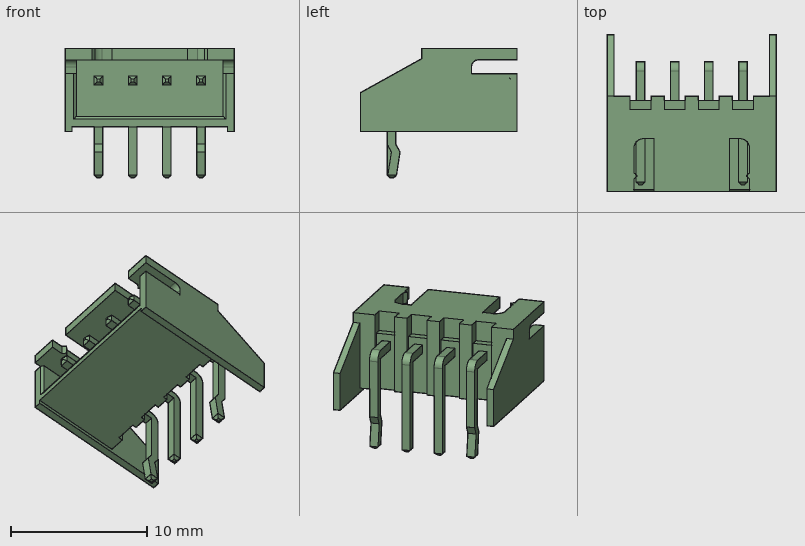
import cadquery as cq


pin_count = 4
pitch = 2.5
pin_width = 0.64
pin_depth = 0.64
pin_axis_z = 3.75
pin_front_y = 0.5
pin_back_y = 9.53
pin_end_z = -3.4
pin_taper = 0.2
pin_tip_width = 0.22
pin_bend_radius = 0.7
kink_start_z = -0.92
kink_peak_z = -1.5
kink_shift = 0.31
kink_end_shift = 0.05

end_margin = 2.45
width = (pin_count - 1) * pitch + 2 * end_margin
length = 11.5
height = 6.1
shell_length = 7.0
shell_bottom_z = 0.34
side_plate = 0.52
slope_top_z = 5.35
slope_bottom_z = 2.85

cavity_wall = 0.83
cavity_floor_z = 1.12
cavity_roof_z = 5.25
cavity_depth = 5.2
lead_in_width = 0.21
lead_in_depth = 0.15

side_slot_bottom_z = 4.25
side_slot_depth = 3.34
side_slot_radius = 0.5

roof_slot_outer_x = 4.25
roof_slot_width = 1.48
roof_slot_depth = 3.89
roof_slot_radius = 0.75
bump_y = 1.15
bump_height = 0.25

notch_width = 1.53
notch_depth = 0.98
notch_ledge_z = 4.6
recess_depth = 0.31

pin_positions = [(i - (pin_count - 1) / 2) * pitch for i in range(pin_count)]


def box(x_range, y_range, z_range):
    """Axis-aligned block between the given limits."""
    size = [high - low for low, high in (x_range, y_range, z_range)]
    corner = (x_range[0], y_range[0], z_range[0])
    return cq.Workplane("XY").box(*size, centered=False).translate(corner)


def make_body():
    """Shell block with a full-length side plate at each end."""
    half = width / 2
    shell = box((-half, half), (0, shell_length), (shell_bottom_z, height))
    plate_outline = [
        (0, 0),
        (length, 0),
        (length, slope_bottom_z),
        (shell_length, slope_top_z),
        (shell_length, height),
        (0, height),
    ]
    plate = cq.Workplane("YZ", origin=(-half, 0, 0)).polyline(plate_outline).close().extrude(side_plate)
    return shell.union(plate).union(plate.mirror("YZ"))


def make_cavity():
    """Mating cavity, widened at the mouth by a lead-in on the floor and sides."""
    half = width / 2 - cavity_wall
    cavity = box((-half, half), (0, cavity_depth), (cavity_floor_z, cavity_roof_z))
    mouth_half = half + lead_in_width
    lead_in = (
        cq.Workplane("XZ")
        .polyline([
            (-mouth_half, cavity_floor_z - lead_in_width),
            (mouth_half, cavity_floor_z - lead_in_width),
            (mouth_half, side_slot_bottom_z),
            (-mouth_half, side_slot_bottom_z),
        ])
        .close()
        .workplane(offset=-lead_in_depth)
        .polyline([
            (-half, cavity_floor_z),
            (half, cavity_floor_z),
            (half, side_slot_bottom_z),
            (-half, side_slot_bottom_z),
        ])
        .close()
        .loft(ruled=True)
    )
    return cavity.union(lead_in)


def make_side_slots():
    """Slot across both side walls, rounded at its upper inner corner."""
    half = width / 2
    slot = box((-half, half), (0, side_slot_depth), (side_slot_bottom_z, cavity_roof_z))
    return slot.edges("|X and >Y and >Z").fillet(side_slot_radius)


def make_roof_slot():
    """Roof slot on the +X side with a rounded outer corner and a locking bump."""
    inner_x = roof_slot_outer_x - roof_slot_width
    slot = box((inner_x, roof_slot_outer_x), (0, roof_slot_depth), (cavity_roof_z, height))
    slot = slot.edges("|Z and >X and >Y").fillet(roof_slot_radius)
    bump = (
        cq.Workplane("XY", origin=(0, 0, cavity_roof_z))
        .polyline([
            (roof_slot_outer_x, bump_y - bump_height),
            (roof_slot_outer_x, bump_y + bump_height),
            (roof_slot_outer_x - bump_height, bump_y),
        ])
        .close()
        .extrude(height - cavity_roof_z)
    )
    return slot.cut(bump)


def make_notch(x):
    """Notch in the roof above a pin, with a shallower recess below it."""
    x_range = (x - notch_width / 2, x + notch_width / 2)
    notch = box(x_range, (shell_length - notch_depth, shell_length), (notch_ledge_z, height))
    recess = box(x_range, (shell_length - recess_depth, shell_length), (shell_bottom_z, height))
    return notch.union(recess)


def make_tip(direction, origin, section):
    """Tapered pin end growing from a rectangular section along direction."""
    return (
        cq.Workplane(cq.Plane(origin=origin, xDir=(1, 0, 0), normal=direction))
        .rect(*section)
        .workplane(offset=pin_taper)
        .rect(pin_tip_width, pin_tip_width)
        .loft(ruled=True)
    )


def make_pin(x, kinked):
    """Right-angle pin; a kinked one has its solder leg bent towards the front."""
    top_z = pin_axis_z + pin_depth / 2
    under_z = pin_axis_z - pin_depth / 2
    inner_y = pin_back_y - pin_depth
    arm_start_y = pin_front_y + pin_taper
    leg_end_z = pin_end_z + pin_taper
    peak_shift = kink_shift if kinked else 0
    end_shift = kink_end_shift if kinked else 0

    outline = (
        cq.Workplane("YZ", origin=(x, 0, 0))
        .moveTo(arm_start_y, under_z)
        .lineTo(arm_start_y, top_z)
        .lineTo(pin_back_y - pin_bend_radius, top_z)
        .tangentArcPoint((pin_back_y, top_z - pin_bend_radius), relative=False)
        .lineTo(pin_back_y, kink_start_z)
        .lineTo(pin_back_y - peak_shift, kink_peak_z)
        .lineTo(pin_back_y - end_shift, leg_end_z)
        .lineTo(inner_y - end_shift, leg_end_z)
        .lineTo(inner_y - peak_shift, kink_peak_z)
        .lineTo(inner_y, kink_start_z)
        .lineTo(inner_y, under_z)
        .close()
    )
    pin = outline.extrude(pin_width / 2, both=True)
    leg_end_y = pin_back_y - pin_depth / 2 - end_shift
    front_tip = make_tip((0, -1, 0), (x, arm_start_y, pin_axis_z), (pin_width, pin_depth))
    leg_tip = make_tip((0, 0, -1), (x, leg_end_y, leg_end_z), (pin_width, pin_depth))
    return pin.union(front_tip).union(leg_tip)


body = make_body().cut(make_cavity()).cut(make_side_slots())

roof_slot = make_roof_slot()
body = body.cut(roof_slot).cut(roof_slot.mirror("YZ"))

for pin_x in pin_positions:
    body = body.cut(make_notch(pin_x))

for pin_x in pin_positions:
    is_end_pin = pin_x in (pin_positions[0], pin_positions[-1])
    body = body.union(make_pin(pin_x, is_end_pin))

result = body